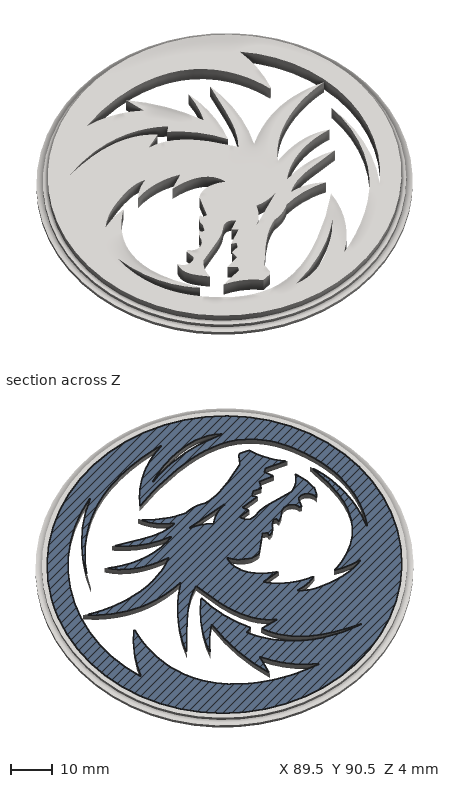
import cadquery as cq

LENGTH_X = 89.5
LENGTH_Y = 90.5

TIER_HEIGHT = 1.0
FLANGE_HEIGHT = TIER_HEIGHT
STEP_HEIGHT = TIER_HEIGHT
PLATE_HEIGHT = 2 * TIER_HEIGHT
TOTAL_HEIGHT = FLANGE_HEIGHT + STEP_HEIGHT + PLATE_HEIGHT

STEP_INSET = 1.5
PLATE_INSET = 2.7


OPENING_START = (-22.5, 29.8)

UPPER_RING = [
    [(0.45, 37.4), (28.9, 23.4)],
    [(18.3, 29.7), (5.0, 32.2)],
    [(17.2, 28.95), (26.2, 22.6), (32.7, 13.6), (36.7, 2.35)],
]

RIGHT_WING = [
    [(30.5, 9.4), (22.4, 13.2)],
    [
        (25.3, 8.7), (29.1, 1.1), (31.7, -6.8), (31.85, -15.2),
        (28.95, -22.3), (22.6, -29.0), (13.6, -34.5), (4.5, -36.3), (-1.8, -35.7),
    ],
]

TAIL = [
    [(4.5, -35.3), (13.6, -32.3), (18.7, -28.9)],
    [(13.6, -31.0), (4.5, -33.0), (-2.7, -31.6), (-7.2, -28.4), (-10.8, -23.9)],
]

THROAT_SPIKES = [
    [(-10.8, -27.6), (-10.2, -30.85)],
    [(-12.2, -27.3), (-13.6, -21.7), (-13.75, -16.7), (-12.9, -13.8)],
    [(-11.9, -16.9), (-10.5, -19.1)],
    [(-10.2, -13.1), (-7.9, -7.1)],
    [(-6.3, -11.5)],
    [(-5.4, -7.7), (-2.9, -3.35), (1.5, -1.3)],
]

LOWER_JAW = [
    [(0.1, -3.5), (-0.6, -6.6), (0.1, -9.0)],
    [(5.1, -11.7)],
    [(4.7, -12.8)],
    [(3.9, -12.85)],
    [(4.9, -14.1), (6.3, -14.6)],
    [(7.8, -15.5)],
    [(7.7, -16.1)],
    [(6.9, -16.5)],
    [(7.7, -17.3), (9.05, -18.0)],
    [(10.3, -20.5), (8.9, -22.4)],
    [(8.9, -23.1)],
    [(11.3, -23.2)],
    [(11.9, -24.6), (11.6, -26.0), (9.9, -27.2)],
    [(12.7, -27.8), (15.4, -26.7), (18.2, -24.8)],
    [(15.6, -23.9), (13.75, -22.3)],
    [(12.7, -17.6), (11.0, -12.7), (9.95, -10.4), (10.4, -9.05), (11.3, -8.1)],
]

UPPER_TEETH = [
    [(12.3, -10.95)],
    [(13.6, -9.8)],
    [(15.2, -14.2)],
    [(15.9, -13.0)],
    [(17.0, -13.75)],
    [(17.0, -15.8)],
    [(19.0, -16.1)],
    [(19.3, -19.9)],
    [(21.2, -18.2)],
    [(22.0, -18.7)],
    [(22.2, -24.3)],
]

SNOUT = [
    [(24.0, -21.2), (26.0, -18.8), (28.2, -16.9)],
    [(28.2, -14.5)],
    [(27.7, -13.9)],
    [(25.3, -13.4)],
    [(21.7, -9.05), (19.0, -4.8), (17.9, -1.8)],
    [(17.9, 0.45), (16.9, 3.5)],
    [(17.1, 7.7), (17.8, 11.1), (19.3, 14.8)],
]

CREST_HORNS = [
    [(16.5, 11.1), (15.1, 7.1)],
    [(13.9, 10.4), (13.75, 16.3), (14.3, 23.3)],
    [(12.5, 18.55), (11.85, 9.1)],
    [(9.8, 12.85), (8.3, 19.45), (9.1, 27.1)],
    [(6.8, 22.2), (6.1, 17.2), (6.4, 11.85)],
    [(1.6, 17.8), (-1.1, 25.3), (-1.8, 31.7), (-1.5, 36.6)],
    [(-3.7, 30.0), (-4.25, 22.6), (-3.1, 16.5), (-1.2, 11.7)],
]

MANE = [
    [(-9.5, 15.6), (-20.7, 17.3)],
    [(-14.0, 14.75), (-8.0, 12.0), (-3.35, 8.5)],
    [(-10.9, 4.2), (-16.3, -0.8), (-18.9, -6.2)],
    [(-20.0, -1.9)],
    [(-22.9, -5.0), (-26.0, -11.5), (-27.05, -17.6), (-27.1, -25.1)],
    [(-27.7, -19.45), (-26.7, -10.4), (-23.8, -3.4), (-19.8, 1.6)],
    [(-18.9, 0.3)],
    [(-13.6, 4.9), (-6.7, 8.5)],
    [(-14.0, 11.2), (-22.8, 12.0)],
    [(-18.4, 10.6), (-14.8, 8.8)],
    [(-23.5, 5.9), (-32.6, 0.6)],
    [(-27.4, 1.2)],
    [(-31.4, -4.2), (-34.2, -11.5)],
]

LEFT_WING = [
    [(-34.7, -3.6), (-33.7, 5.4), (-28.95, 16.1), (-21.7, 22.7), (-15.4, 25.4), (-9.7, 26.5)],
    [(-9.8, 26.9)],
    [(-15.4, 28.9), OPENING_START],
]

MAIN_OPENING = (
    UPPER_RING + RIGHT_WING + TAIL + THROAT_SPIKES + LOWER_JAW + UPPER_TEETH
    + SNOUT + CREST_HORNS + MANE + LEFT_WING
)

EYE_START = (12.6, 4.3)
EYE = [
    [(15.9, -6.1)],
    [(14.2, -3.35), (11.85, -1.6)],
    [(12.6, 1.3), EYE_START],
]

WING_SLIT_START = (27.6, 8.2)
WING_SLIT = [
    [(31.2, 3.7), (33.5, -0.3), (35.3, -5.9), (34.7, -12.3)],
    [(33.75, -5.4), (31.3, 1.9), WING_SLIT_START],
]


def oval_tier(inset, height, base):
    """Oval slab whose edge lies the given inset inside the flange edge."""
    return (
        cq.Workplane("XY", origin=(0, 0, base))
        .ellipse(LENGTH_X / 2 - inset, LENGTH_Y / 2 - inset)
        .extrude(height)
    )


def through_cutter(start, edges):
    """Prism over a closed outline, as tall as the whole part."""
    outline = cq.Workplane("XY").moveTo(*start)
    for points in edges:
        if len(points) == 1:
            outline = outline.lineTo(*points[0])
        elif len(points) == 2:
            outline = outline.threePointArc(*points)
        else:
            outline = outline.spline(points, includeCurrent=True)
    return outline.wire().extrude(TOTAL_HEIGHT)


flange = oval_tier(0, FLANGE_HEIGHT, 0)
step = oval_tier(STEP_INSET, STEP_HEIGHT, FLANGE_HEIGHT)
plate = oval_tier(PLATE_INSET, PLATE_HEIGHT, FLANGE_HEIGHT + STEP_HEIGHT)
disc = flange.union(step).union(plate)

result = (
    disc
    .cut(through_cutter(OPENING_START, MAIN_OPENING))
    .cut(through_cutter(EYE_START, EYE))
    .cut(through_cutter(WING_SLIT_START, WING_SLIT))
)